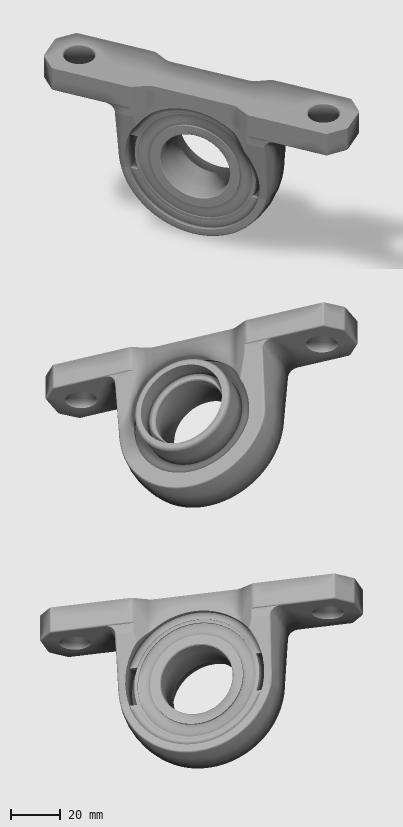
import cadquery as cq
import math


plate_length = 131.4
plate_width = 26.0
plate_thickness = 10.9
plate_top = 36.3
corner_length = 6.3
corner_width = 6.8
corner_radius = 1.3
plate_edge_radius = 0.7
bolt_spacing = 105.6
bolt_diameter = 12.7
bolt_chamfer = 0.4
plate_bottom = plate_top - plate_thickness

waist_width = 18.1
waist_floor_length = 36.8
waist_angle = 30.0
waist_inner_radius = 5.7
waist_outer_radius = 3.3

body_radius = 33.4
neck_top_radius = 34.7
neck_fillet = 3.8
body_width = 17.3
neck_width = 25.2
taper_bottom = -7.0
body_edge_radius = 0.7
plate_middle = plate_top - plate_thickness / 2
neck_top = plate_bottom - neck_fillet

seat_radius = 27.0
spotface_diameter = 58.0
spotface_depth = 1.6
slot_height = 16.3

race_half_width = 6.7
shield_diameter = 49.4
shield_position = 6.2
ring_diameter = 38.8
ring_position = 7.0
collar_diameter = 41.8
collar_end = 19.5
collar_edge_radius = 1.5
bore_diameter = 30.0
bore_chamfer = 0.4
counterbore_diameter = 35.6
counterbore_depth = 7.9


def cylinder_y(diameter, y_start, y_end):
    """Cylinder on the bore axis between two Y positions."""
    base = cq.Workplane("XZ", origin=(0, y_start, 0))
    return base.circle(diameter / 2).extrude(y_start - y_end)


def seat_ball(half_width):
    """Slice of the seat sphere between two planes at equal distance from its centre."""
    end_radius = math.sqrt(seat_radius**2 - half_width**2)
    return (
        cq.Workplane("XY")
        .moveTo(0, -half_width)
        .lineTo(end_radius, -half_width)
        .threePointArc((seat_radius, 0), (end_radius, half_width))
        .lineTo(0, half_width)
        .close()
        .revolve(360, (0, 0), (0, 1))
    )


def vertical_edge_at(x, y):
    """Selector for the vertical edge that passes through (x, y)."""
    reach = 0.1
    return cq.selectors.BoxSelector((x - reach, y - reach, -plate_length), (x + reach, y + reach, plate_length))


def make_plate():
    """Mounting plate with cut corners, a rounded lower rim and two bolt holes."""
    half_length = plate_length / 2
    half_width = plate_width / 2
    corner_x = half_length - corner_length
    corner_y = half_width - corner_width
    outline = [
        (half_length, -corner_y), (half_length, corner_y), (corner_x, half_width), (-corner_x, half_width),
        (-half_length, corner_y), (-half_length, -corner_y), (-corner_x, -half_width), (corner_x, -half_width),
    ]
    plate = cq.Workplane("XY", origin=(0, 0, plate_bottom)).polyline(outline).close().extrude(plate_thickness)
    plate = plate.edges("|Z").fillet(corner_radius).faces("<Z").edges().fillet(plate_edge_radius)
    bolt_places = [(-bolt_spacing / 2, 0), (bolt_spacing / 2, 0)]
    mouth_diameter = bolt_diameter + 2 * bolt_chamfer
    return plate.faces(">Z").workplane().pushPoints(bolt_places).cskHole(bolt_diameter, mouth_diameter, 90)


def make_body():
    """Bearing body: a shape turned about Z, trimmed front and back by a tapered side profile."""
    arc_mid = math.sqrt(0.5)
    turned = (
        cq.Workplane("XZ")
        .moveTo(0, -body_radius)
        .threePointArc((body_radius * arc_mid, -body_radius * arc_mid), (body_radius, 0))
        .lineTo(neck_top_radius, neck_top)
        .threePointArc(
            (neck_top_radius + neck_fillet * (1 - arc_mid), neck_top + neck_fillet * arc_mid),
            (neck_top_radius + neck_fillet, plate_bottom),
        )
        .lineTo(neck_top_radius + neck_fillet, plate_middle)
        .lineTo(0, plate_middle)
        .close()
        .revolve(360, (0, 0), (0, 1))
    )
    low = body_width / 2
    high = neck_width / 2
    side_profile = [
        (-low, -body_radius), (low, -body_radius), (low, taper_bottom), (high, neck_top),
        (high, plate_middle), (-high, plate_middle), (-high, neck_top), (-low, taper_bottom),
    ]
    envelope = cq.Workplane("YZ").polyline(side_profile).close().extrude(plate_length / 2, both=True)
    body = turned.intersect(envelope)
    curved_rim = []
    for side in (-1, 1):
        rim_box = cq.selectors.BoxSelector(
            (-plate_length, side * low * 0.9, -body_radius), (plate_length, side * plate_width, neck_top - 1.3)
        )
        curved_rim += body.edges(rim_box).edges("%CIRCLE or %ELLIPSE").vals()
    return body.newObject(curved_rim).fillet(body_edge_radius)


def make_waist_plan():
    """Tall prism with the waisted plan outline; the housing is trimmed to it."""
    end_x = plate_length / 2
    end_y = plate_width / 2
    floor_x = waist_floor_length / 2
    floor_y = waist_width / 2
    mouth_x = floor_x + (end_y - floor_y) / math.tan(math.radians(waist_angle))
    outline = [
        (-end_x, -end_y), (-mouth_x, -end_y), (-floor_x, -floor_y),
        (floor_x, -floor_y), (mouth_x, -end_y), (end_x, -end_y),
        (end_x, end_y), (mouth_x, end_y), (floor_x, floor_y),
        (-floor_x, floor_y), (-mouth_x, end_y), (-end_x, end_y),
    ]
    plan = cq.Workplane("XY", origin=(0, 0, -body_radius)).polyline(outline).close()
    plan = plan.extrude(body_radius + plate_top)
    for x in (-floor_x, floor_x):
        for y in (-floor_y, floor_y):
            plan = plan.edges(vertical_edge_at(x, y)).fillet(waist_inner_radius)
    for x in (-mouth_x, mouth_x):
        for y in (-end_y, end_y):
            plan = plan.edges(vertical_edge_at(x, y)).fillet(waist_outer_radius)
    return plan


def cut_seat(housing):
    """Spherical seat, the round recess in front of it and the two loading slots."""
    front = -body_width / 2
    floor = front + spotface_depth
    recess = cylinder_y(spotface_diameter, -plate_width / 2, floor)
    slots = cylinder_y(spotface_diameter, front, 0)
    slots = slots.intersect(cq.Workplane("XY").box(plate_length, plate_width, slot_height))
    return housing.cut(recess).cut(slots).cut(seat_ball(plate_width / 2))


def make_housing():
    """Plate and bearing body in one piece, waisted and bored for the insert."""
    housing = make_plate().union(make_body()).intersect(make_waist_plan())
    return cut_seat(housing)


def make_insert():
    """Bearing insert: spherical outer race, sunken shield, inner ring and locking collar behind."""
    race = seat_ball(race_half_width)
    shield_recess = cylinder_y(shield_diameter, -race_half_width, -shield_position)
    ring = cylinder_y(ring_diameter, -ring_position, 0)
    collar = cylinder_y(collar_diameter, 0, collar_end).faces(">Y").edges().fillet(collar_edge_radius)
    bore = cylinder_y(bore_diameter, -ring_position, collar_end)
    insert = race.cut(shield_recess).union(ring).union(collar).cut(bore)
    insert = insert.cut(cylinder_y(counterbore_diameter, collar_end - counterbore_depth, collar_end))
    bore_rims = insert.edges("%CIRCLE").filter(lambda edge: abs(edge.radius() - bore_diameter / 2) < 0.01)
    return bore_rims.chamfer(bore_chamfer)


housing = make_housing()
bearing_insert = make_insert()

result = cq.Compound.makeCompound([housing.val(), bearing_insert.val()])